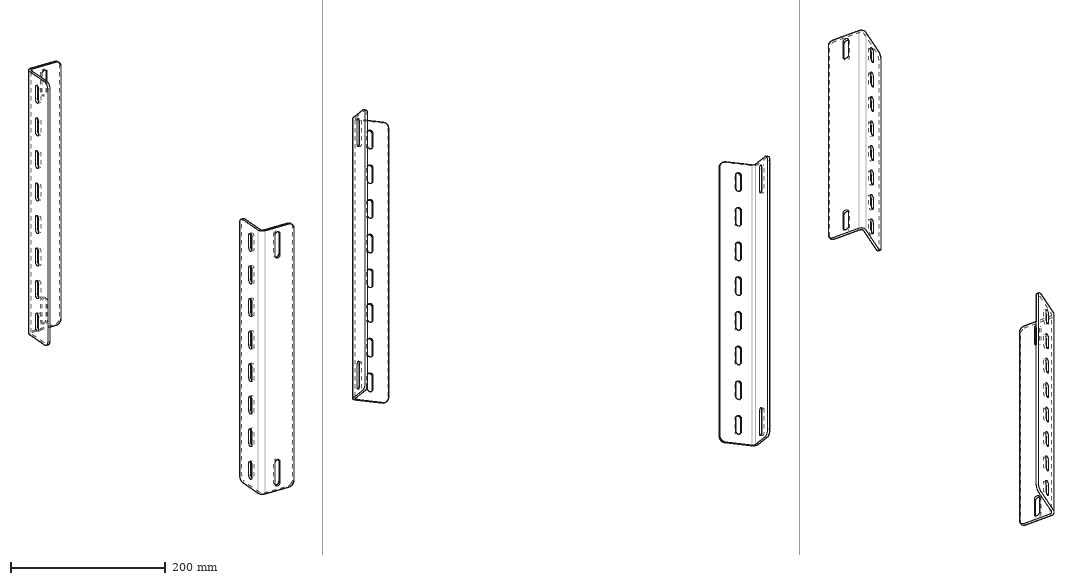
import cadquery as cq

span = 561.0
leg = 51.0
height = 381.0
sheet = 3.5
bend_outer = 7.0
bend_inner = bend_outer - sheet
corner_radius = 8.0

front_slot_count = 8
front_slot_pitch = 47.0
front_slot_length = 25.0
front_slot_width = 8.0
front_slot_offset = 25.0

side_slot_spacing = 330.0
side_slot_length = 37.5
side_slot_width = 8.0
side_slot_offset = 26.0

outer_x = -span / 2
front_y = -leg / 2
cut_depth = 2 * sheet


def folded_sheet():
    """L-shaped sheet with a rounded fold, extruded along Z."""
    profile = (
        cq.Workplane("XY", origin=(outer_x, front_y, -height / 2))
        .polyline([(0, 0), (leg, 0), (leg, sheet), (sheet, sheet), (sheet, leg), (0, leg)])
        .close()
    )
    sheet_body = profile.extrude(height)
    inside_fold = cq.selectors.NearestToPointSelector((outer_x + sheet, front_y + sheet, 0))
    outside_fold = cq.selectors.NearestToPointSelector((outer_x, front_y, 0))
    sheet_body = sheet_body.edges(inside_fold).fillet(bend_inner)
    return sheet_body.edges(outside_fold).fillet(bend_outer)


def round_free_corners(body):
    """Round the top and bottom corners at the free end of each leg."""
    body = body.faces(">X").edges("|Y").fillet(corner_radius)
    return body.faces(">Y").edges("|X").fillet(corner_radius)


def front_slots():
    """Column of upright slots that pass through the front leg."""
    return (
        cq.Workplane("XZ", origin=(outer_x + front_slot_offset, front_y + cut_depth, 0))
        .rarray(5.5, front_slot_pitch, 1, front_slot_count)
        .slot2D(front_slot_length, front_slot_width, 90)
        .extrude(2 * cut_depth)
    )


def side_slots():
    """Upright slots near the two ends of the side leg."""
    return (
        cq.Workplane("YZ", origin=(outer_x - cut_depth, front_y + side_slot_offset, 0))
        .rarray(5.5, side_slot_spacing, 1, 2)
        .slot2D(side_slot_length, side_slot_width, 90)
        .extrude(2 * cut_depth)
    )


def angle_bracket():
    """Left-hand slotted angle bracket."""
    return round_free_corners(folded_sheet()).cut(front_slots()).cut(side_slots())


left_bracket = angle_bracket()
right_bracket = left_bracket.mirror("YZ")

result = cq.Compound.makeCompound([left_bracket.val(), right_bracket.val()])